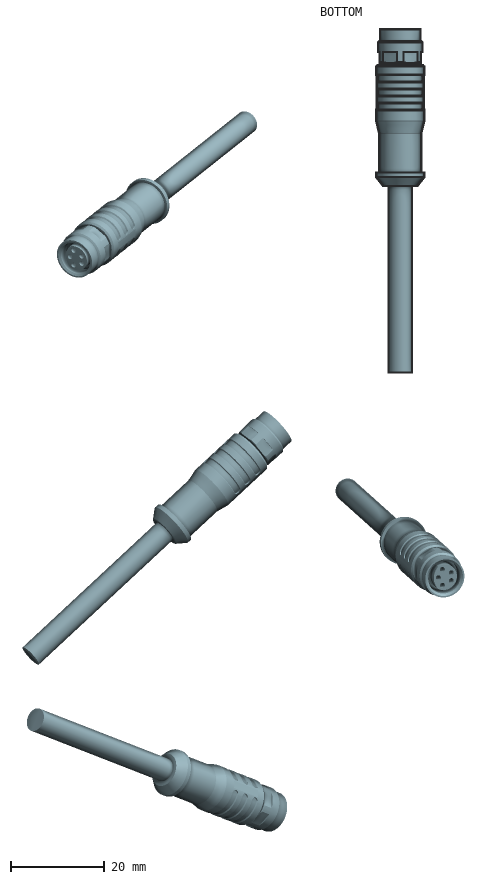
import cadquery as cq
import math

LENGTH = 73.7
MATING_Y = -LENGTH / 2

CLEARANCE = 0.75

CABLE_D = 5.1
FLANGE_D = 10.3
FLANGE_REAR_D = 7.2
FLANGE_REAR = 33.7
FLANGE_CONE_START = 31.7
FLANGE_FRONT = 30.7

SLEEVE_D = 9.1
SLEEVE_FRONT = 22.3
GRIP_D = 10.3
GRIP_REAR = 19.7
GRIP_FRONT = 7.7
GRIP_CHAMFER = 0.4

NECK_D = 6.5
NUT_REAR = 7.2
NUT_FRONT = 2.5
NUT_D = 9.6
NUT_CHAMFER = 0.4
NUT_REAR_CHAMFER = 0.15
SHELL_D = 8.8

GROOVE_COUNT = 3
GROOVE_PITCH = 3.0
GROOVE_MIDDLE = 13.55
GROOVE_WIDTH = 1.7
GROOVE_FLOOR_WIDTH = 1.3
GROOVE_DEPTH = 0.26
GROOVE_END_Z = 1.1

MARK_LENGTH = 7.4
MARK_HEIGHT = 1.7

WRENCH_FLATS = 6
ACROSS_FLATS = 8.9
WRENCH_LENGTH = 2.3

BORE_D = 7.2
BORE_CHAMFER_D = 8.1
BORE_CHAMFER_DEPTH = 0.4
INSERT_D = 5.7
INSERT_FACE = 0.4
GAP_BOTTOM = 2.95
KEYWAY_FROM_AXIS = 2.35
KEYWAY_ARC_RADIUS = 3.7

CONTACT_D = 1.1
CONTACT_DEPTH = 2.95
CONTACTS_XZ = [(-1.3, 0), (-0.45, 1.8), (-0.45, -1.8), (1.55, 0.9), (1.55, -0.9)]


def axial(distance):
    """Y position at a distance behind the mating end."""
    return MATING_Y + distance


def turned(points):
    """Solid of revolution from (diameter, distance behind the mating end) points."""
    outline = [(diameter / 2, axial(distance)) for diameter, distance in points]
    return cq.Workplane("XY").polyline(outline).close().revolve(360, (0, 0, 0), (0, 1, 0))


def cross_section(distance):
    """Workplane facing the mating end, with local coordinates (X, Z)."""
    return cq.Workplane("XZ", origin=(0, axial(distance), 0))


def body():
    """Whole outer shape from the shell to the cable end."""
    return turned([
        (0, 0),
        (SHELL_D, 0),
        (SHELL_D, NUT_FRONT),
        (NUT_D, NUT_FRONT + NUT_CHAMFER),
        (NUT_D, NUT_REAR - NUT_REAR_CHAMFER),
        (NUT_D - 2 * NUT_REAR_CHAMFER, NUT_REAR),
        (NECK_D, NUT_REAR),
        (NECK_D, GRIP_FRONT),
        (GRIP_D - 2 * GRIP_CHAMFER, GRIP_FRONT),
        (GRIP_D, GRIP_FRONT + GRIP_CHAMFER),
        (GRIP_D, GRIP_REAR),
        (SLEEVE_D, SLEEVE_FRONT),
        (SLEEVE_D, FLANGE_FRONT),
        (FLANGE_D, FLANGE_FRONT),
        (FLANGE_D, FLANGE_CONE_START),
        (FLANGE_REAR_D, FLANGE_REAR),
        (CABLE_D, FLANGE_REAR),
        (CABLE_D, LENGTH),
        (0, LENGTH),
    ])


def grip_groove(distance):
    """Ring groove interrupted on both sides, leaving rounded ends."""
    floor_d = GRIP_D - 2 * GROOVE_DEPTH
    ring = turned([
        (floor_d, distance - GROOVE_FLOOR_WIDTH / 2),
        (GRIP_D, distance - GROOVE_WIDTH / 2),
        (GRIP_D + CLEARANCE, distance - GROOVE_WIDTH / 2),
        (GRIP_D + CLEARANCE, distance + GROOVE_WIDTH / 2),
        (GRIP_D, distance + GROOVE_WIDTH / 2),
        (floor_d, distance + GROOVE_FLOOR_WIDTH / 2),
    ])
    reach = GRIP_D
    bounds = (
        cq.Workplane("YZ", origin=(0, axial(distance), 0))
        .pushPoints([(0, GROOVE_END_Z + reach / 2), (0, -GROOVE_END_Z - reach / 2)])
        .slot2D(reach, GROOVE_WIDTH, 90)
        .extrude(GRIP_D, both=True)
    )
    return ring.intersect(bounds)


def marking_flats():
    """Cutters for the narrow flats on the +X and -X sides of the grip."""
    flat_x = math.sqrt(GRIP_D ** 2 - MARK_HEIGHT ** 2) / 2
    block = (
        cq.Workplane("XY", origin=(flat_x, axial(GROOVE_MIDDLE), 0))
        .box(CLEARANCE, MARK_LENGTH, MARK_HEIGHT, centered=(False, True, True))
    )
    return block.union(block.mirror("YZ"))


def wrench_flats():
    """Everything outside the hexagon at the rear of the nut."""
    hexagon_d = ACROSS_FLATS / math.cos(math.pi / WRENCH_FLATS)
    return (
        cross_section(NUT_REAR)
        .transformed(rotate=(0, 0, 180 / WRENCH_FLATS))
        .circle(NUT_D)
        .polygon(WRENCH_FLATS, hexagon_d)
        .extrude(WRENCH_LENGTH)
    )


def shell_bore():
    """Chamfered mouth in front of the insert and the ring gap around it."""
    return turned([
        (0, 0),
        (BORE_CHAMFER_D, 0),
        (BORE_D, BORE_CHAMFER_DEPTH),
        (BORE_D, GAP_BOTTOM),
        (INSERT_D, GAP_BOTTOM),
        (INSERT_D, INSERT_FACE),
        (0, INSERT_FACE),
    ])


def keyway():
    """Crescent cut along the -X side of the insert, open to the gap."""
    middle_of_gap_d = (INSERT_D + BORE_D) / 2
    kept = (
        cross_section(GAP_BOTTOM)
        .center(KEYWAY_ARC_RADIUS - KEYWAY_FROM_AXIS, 0)
        .circle(KEYWAY_ARC_RADIUS)
        .extrude(GAP_BOTTOM)
    )
    return cross_section(GAP_BOTTOM).circle(middle_of_gap_d / 2).extrude(GAP_BOTTOM).cut(kept)


def o_ring():
    """Half-round ring that fills the width of the gap at its bottom."""
    ring_radius = (BORE_D - INSERT_D) / 4
    crown = ((BORE_D + INSERT_D) / 4, axial(GAP_BOTTOM - ring_radius))
    return (
        cq.Workplane("XY")
        .moveTo(INSERT_D / 2, axial(GAP_BOTTOM))
        .threePointArc(crown, (BORE_D / 2, axial(GAP_BOTTOM)))
        .close()
        .revolve(360, (0, 0, 0), (0, 1, 0))
    )


def contact_holes():
    """Blind holes in the insert face."""
    return (
        cross_section(INSERT_FACE + CONTACT_DEPTH)
        .pushPoints(CONTACTS_XZ)
        .circle(CONTACT_D / 2)
        .extrude(CONTACT_DEPTH)
    )


result = body()
for i in range(GROOVE_COUNT):
    offset = (i - (GROOVE_COUNT - 1) / 2) * GROOVE_PITCH
    result = result.cut(grip_groove(GROOVE_MIDDLE + offset))
result = result.cut(marking_flats()).cut(wrench_flats())
result = result.cut(shell_bore()).cut(keyway()).union(o_ring())
result = result.cut(contact_holes())